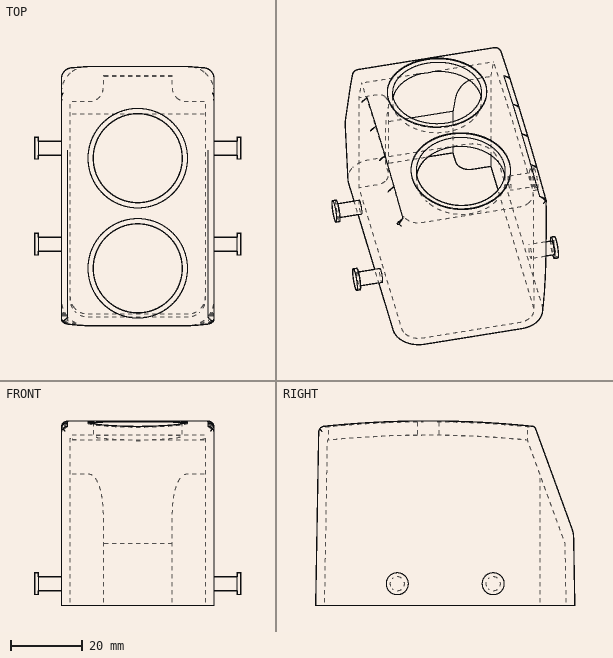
import cadquery as cq
import math

WIDTH = 43.0
LENGTH = 73.0
HEIGHT = 52.0
END_DRAFT = math.radians(1.0)
CROWN_RADIUS = 285.0
CROWN_Y = -4.8
TOP_FILLET = 1.8
REAR_TOP_FILLET = 1.2

KNEE_Z = 20.4
SLOPE_ANGLE = math.radians(20.0)
KNEE_RADIUS = 8.0

RIM_CORNER_RADIUS = 7.4
KNEE_CORNER_RADIUS = 3.1
TOP_CORNER_RADIUS = 1.3

WALL = 2.5
SLOPE_WALL = 3.3
ROOF = 4.0

PILLAR_FRONT_Y = 26.6
PILLAR_INNER_X = 9.7
PILLAR_RADIUS = 4.0

ENTRY_DIAMETER = 25.0
ENTRY_SEAT_DIAMETER = 28.0
ENTRY_SEAT_DEPTH = 0.3
ENTRY_SPACING = 31.0

PIN_SPAN = 58.0
PIN_SPACING = 27.0
PIN_Z = 6.15
PIN_DIAMETER = 4.0
PIN_HEAD_DIAMETER = 6.2
PIN_HEAD_THICKNESS = 1.0

MARGIN = 5.0
LOFT_INTERVALS = 4
ARC_MIDPOINT = math.sqrt(0.5)


def front_y(z):
    """Outer front face, leaning back with the draft."""
    return -LENGTH / 2 + z * math.tan(END_DRAFT)


def lower_rear_y(z):
    """Outer rear face below the knee."""
    return LENGTH / 2 - z * math.tan(END_DRAFT)


def slope_y(z):
    """Sloped rear face above the knee."""
    return lower_rear_y(KNEE_Z) - (z - KNEE_Z) * math.tan(SLOPE_ANGLE)


KNEE_TURN = SLOPE_ANGLE - END_DRAFT
KNEE_TANGENT = KNEE_RADIUS * math.tan(KNEE_TURN / 2)
KNEE_LOW_Z = KNEE_Z - KNEE_TANGENT * math.cos(END_DRAFT)
KNEE_HIGH_Z = KNEE_Z + KNEE_TANGENT * math.cos(SLOPE_ANGLE)
KNEE_CENTER_Y = lower_rear_y(KNEE_LOW_Z) - KNEE_RADIUS * math.cos(END_DRAFT)
KNEE_CENTER_Z = KNEE_LOW_Z - KNEE_RADIUS * math.sin(END_DRAFT)


def knee_y(z):
    """Rounded knee between the two rear faces."""
    return KNEE_CENTER_Y + math.sqrt(KNEE_RADIUS**2 - (z - KNEE_CENTER_Z) ** 2)


def extrude_across(profile, width):
    """Extrude a (Y, Z) profile symmetrically about the YZ plane."""
    return profile.extrude(width / 2, both=True)


def under_crown(depth, width):
    """Solid disc filling everything up to a given depth below the crowned roof."""
    profile = cq.Workplane("YZ").center(CROWN_Y, HEIGHT - CROWN_RADIUS).circle(CROWN_RADIUS - depth)
    return extrude_across(profile, width)


def blend(z, z_start, z_end, r_start, r_end):
    """Linear change of radius between two heights."""
    return r_start + (r_end - r_start) * (z - z_start) / (z_end - z_start)


def front_blend(z):
    """Front corner radius, easing smoothly to its top value."""
    return TOP_CORNER_RADIUS + (RIM_CORNER_RADIUS - TOP_CORNER_RADIUS) * (1 - z / HEIGHT) ** 3


def corner_section(side, end, y, z, radius):
    """Area outside a rounded corner; side and end are the signs of X and Y."""
    x_tangent = WIDTH / 2 - radius
    x_outside = WIDTH / 2 + MARGIN
    y_tangent = y - end * radius
    y_outside = y + end * MARGIN
    reach = radius * ARC_MIDPOINT
    section = (
        cq.Workplane("XY", origin=(0, 0, z))
        .moveTo(side * x_tangent, y)
        .threePointArc((side * (x_tangent + reach), y_tangent + end * reach), (side * WIDTH / 2, y_tangent))
        .lineTo(side * x_outside, y_tangent)
        .lineTo(side * x_outside, y_outside)
        .lineTo(side * x_tangent, y_outside)
        .close()
    )
    return section.wires().val()


def evenly_spaced(z_start, z_end):
    """Heights of the sections of a smooth loft."""
    step = (z_end - z_start) / LOFT_INTERVALS
    return [z_start + step * index for index in range(LOFT_INTERVALS + 1)]


def corner_cutter(side, end, heights, y_at, radius_at):
    """Loft of corner sections; two heights give a straight taper, more give a smooth curve."""
    sections = [corner_section(side, end, y_at(z), z, radius_at(z)) for z in heights]
    return cq.Workplane(cq.Solid.makeLoft(sections))


def lower_rear_blend(z):
    """Rear corner radius below the knee."""
    return blend(z, 0, KNEE_LOW_Z, RIM_CORNER_RADIUS, KNEE_CORNER_RADIUS)


def knee_blend(z):
    """Corner radius around the knee, the same at every height."""
    return KNEE_CORNER_RADIUS


def slope_blend(z):
    """Rear corner radius along the slope."""
    return blend(z, KNEE_HIGH_Z, HEIGHT, KNEE_CORNER_RADIUS, TOP_CORNER_RADIUS)


def round_corners(body):
    """Round the four upright corners with radii that change with height."""
    for side in (-1, 1):
        cutters = (
            corner_cutter(side, -1, evenly_spaced(0, HEIGHT), front_y, front_blend),
            corner_cutter(side, 1, (0, KNEE_LOW_Z), lower_rear_y, lower_rear_blend),
            corner_cutter(side, 1, evenly_spaced(KNEE_LOW_Z, KNEE_HIGH_Z), knee_y, knee_blend),
            corner_cutter(side, 1, (KNEE_HIGH_Z, HEIGHT), slope_y, slope_blend),
        )
        for cutter in cutters:
            body = body.cut(cutter)
    return body


def make_body():
    """Solid hood with a crowned roof, sloped rear and rounded edges."""
    top = HEIGHT + MARGIN
    profile = (
        cq.Workplane("YZ")
        .moveTo(front_y(0), 0)
        .lineTo(lower_rear_y(0), 0)
        .lineTo(lower_rear_y(KNEE_LOW_Z), KNEE_LOW_Z)
        .threePointArc((knee_y(KNEE_Z), KNEE_Z), (slope_y(KNEE_HIGH_Z), KNEE_HIGH_Z))
        .lineTo(slope_y(top), top)
        .lineTo(front_y(top), top)
        .close()
    )
    body = extrude_across(profile, WIDTH).intersect(under_crown(0, WIDTH))
    roof = cq.selectors.NearestToPointSelector((0, CROWN_Y, HEIGHT))
    body = body.faces(roof).edges(">Y").fillet(REAR_TOP_FILLET)
    body = body.faces(roof).edges("not >Y").fillet(TOP_FILLET)
    return round_corners(body)


def make_pillar(side):
    """Rounded block that stays solid in a rear corner of the cavity."""
    return (
        cq.Workplane("XY")
        .moveTo(side * PILLAR_INNER_X, LENGTH / 2)
        .lineTo(side * PILLAR_INNER_X, PILLAR_FRONT_Y)
        .lineTo(side * WIDTH / 2, PILLAR_FRONT_Y)
        .lineTo(side * WIDTH / 2, LENGTH / 2)
        .close()
        .extrude(HEIGHT)
        .edges(cq.selectors.NearestToPointSelector((side * PILLAR_INNER_X, PILLAR_FRONT_Y, HEIGHT / 2)))
        .fillet(PILLAR_RADIUS)
    )


def make_cavity():
    """Hollow inside of the hood, with its roof parallel to the crown."""
    end_shift = WALL / math.cos(END_DRAFT)
    slope_shift = SLOPE_WALL / math.cos(SLOPE_ANGLE)
    knee_rise = (slope_shift - end_shift) / (math.tan(SLOPE_ANGLE) - math.tan(END_DRAFT))
    inner_knee_z = KNEE_Z - knee_rise
    profile = (
        cq.Workplane("YZ")
        .moveTo(front_y(0) + end_shift, 0)
        .lineTo(lower_rear_y(0) - end_shift, 0)
        .lineTo(lower_rear_y(inner_knee_z) - end_shift, inner_knee_z)
        .lineTo(slope_y(HEIGHT) - slope_shift, HEIGHT)
        .lineTo(front_y(HEIGHT) + end_shift, HEIGHT)
        .close()
    )
    cavity = extrude_across(profile, WIDTH - 2 * WALL).intersect(under_crown(ROOF, WIDTH))
    for side in (-1, 1):
        cavity = cavity.cut(make_pillar(side))
        middle = (side * (WIDTH / 2 - WALL), front_y(HEIGHT / 2) + end_shift, HEIGHT / 2)
        corner = cq.selectors.NearestToPointSelector(middle)
        cavity = cavity.edges(corner).fillet(RIM_CORNER_RADIUS - WALL)
    return cavity


def cut_entries(body):
    """Through entries, each with a shallow seat that follows the crown."""
    under_seat = under_crown(ENTRY_SEAT_DEPTH, WIDTH)
    for y in (CROWN_Y - ENTRY_SPACING / 2, CROWN_Y + ENTRY_SPACING / 2):
        base = cq.Workplane("XY", origin=(0, y, HEIGHT / 2))
        seat = base.circle(ENTRY_SEAT_DIAMETER / 2).extrude(HEIGHT).cut(under_seat)
        body = body.cut(seat).cut(base.circle(ENTRY_DIAMETER / 2).extrude(HEIGHT))
    return body


def make_pin(side, y):
    """Headed pin rooted inside the side wall; side is the sign of X."""
    inner_x = WIDTH / 2 - WALL / 2
    shaft_length = PIN_SPAN / 2 - inner_x
    plane = cq.Plane(origin=(side * inner_x, y, PIN_Z), xDir=(0, 1, 0), normal=(side, 0, 0))
    shaft = cq.Workplane(plane).circle(PIN_DIAMETER / 2).extrude(shaft_length)
    head = (
        cq.Workplane(plane)
        .workplane(offset=shaft_length - PIN_HEAD_THICKNESS)
        .circle(PIN_HEAD_DIAMETER / 2)
        .extrude(PIN_HEAD_THICKNESS)
    )
    return shaft.union(head)


result = cut_entries(make_body().cut(make_cavity()))
for pin_side in (-1, 1):
    for pin_y in (-PIN_SPACING / 2, PIN_SPACING / 2):
        result = result.union(make_pin(pin_side, pin_y))